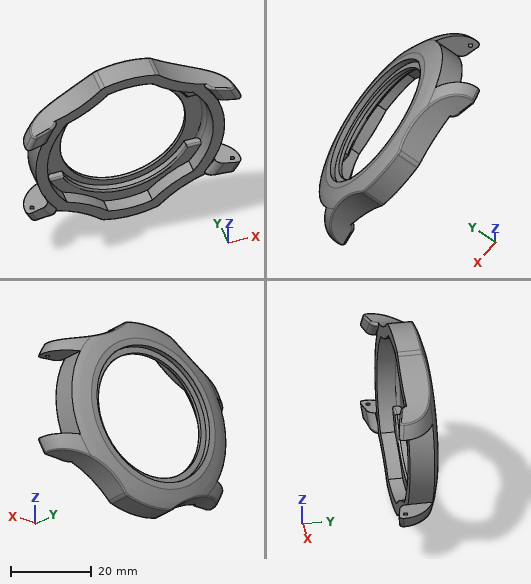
import cadquery as cq
import math

CASE_RADIUS = 24.8
CASE_HEIGHT = 8.0
OPENING_RADIUS = 16.5
WALL = 3.0

DOME_CENTER_RADIUS = 15.45
DOME_CENTER_Y = -1.75
DOME_HALF_HEIGHT = 10.2
DOME_UNDERCUT_ANGLE = 25
LUG_TIP_RADIUS = 30.55

LUG_GAP = 22.8
LUG_DROP = 3.45
LUG_BOTTOM_ANGLE = 13
LUG_TIP_FILLET = 1.0
LUG_HEEL_FILLET = 2.0
LUG_BOX_X = 11.35
LUG_BOX_Z = (7.95, 22.65)
PIN_HOLE_DIAMETER = 1.0
PIN_HOLE_DEPTH = 2.0
PIN_HOLE_X = 26.35
PIN_HOLE_Y = -1.4

FLANK_RADIUS = 28.95
FLANK_X = 28.05
FLANK_Z = 43.95
FLANK_CORNER_FILLET = 2.5
EDGE_FILLET = 0.5

PAD_DEPTH = 3.6
FLOOR_DEPTH = 5.65
FLOOR_FILLET = 1.0
PAD_INNER_RADIUS = 18.3
PAD_GAP = 17.45
PAD_EDGE_FILLET = 0.5
LIP_THICKNESS = 0.9
CRYSTAL_RADIUS = 18.1

CUT_SIZE = 113.3
TOLERANCE = 0.005

SIDES = (-1, 1)
QUADRANTS = [(sx, sz) for sx in SIDES for sz in SIDES]


def cylinder(radius, start, end, x=0, z=0):
    """Cylinder along Y between two Y positions."""
    plane = cq.Workplane("XZ", origin=(x, start, z))
    return plane.circle(radius).extrude(start - end)


def flanks(radius, start, end):
    """Four cylinders whose walls form the concave flanks."""
    tools = cq.Workplane()
    for sx, sz in QUADRANTS:
        tools = tools.add(cylinder(radius, start, end, sx * FLANK_X, sz * FLANK_Z))
    return tools.combine()


def dome():
    """Solid whose outside, an ellipse turned around Y, is the front of the case and lugs."""
    half_width = LUG_TIP_RADIUS - DOME_CENTER_RADIUS
    half_turn = 180
    section = (
        cq.Workplane("XY")
        .moveTo(DOME_CENTER_RADIUS, DOME_CENTER_Y + DOME_HALF_HEIGHT)
        .ellipseArc(
            half_width,
            DOME_HALF_HEIGHT,
            half_turn - DOME_UNDERCUT_ANGLE,
            half_turn + 90,
            rotation_angle=half_turn,
            sense=-1,
        )
        .hLineTo(0)
        .vLineTo(DOME_CENTER_Y + DOME_HALF_HEIGHT)
        .close()
    )
    return section.revolve(360, (0, 0, 0), (0, 1, 0))


def case_blank():
    return dome().intersect(cylinder(CASE_RADIUS, 0, CASE_HEIGHT))


def lug_blanks():
    """Dome outside the case, cut down to four lugs with sloping bottoms."""
    ring = dome().cut(cylinder(CASE_RADIUS, -CUT_SIZE, CUT_SIZE))
    tip_x = math.sqrt(LUG_TIP_RADIUS**2 - (LUG_GAP / 2) ** 2)
    slope = math.tan(math.radians(LUG_BOTTOM_ANGLE))
    rise = (tip_x - LUG_BOX_X) * slope
    overrun = (tip_x - LUG_TIP_RADIUS) * slope
    zones = cq.Workplane()
    for sx, sz in QUADRANTS:
        zone = (
            cq.Workplane("XY", origin=(0, 0, sz * LUG_BOX_Z[0]))
            .moveTo(sx * LUG_BOX_X, rise - LUG_DROP)
            .lineTo(sx * LUG_TIP_RADIUS, overrun - LUG_DROP)
            .lineTo(sx * LUG_TIP_RADIUS, CASE_HEIGHT)
            .lineTo(sx * LUG_BOX_X, CASE_HEIGHT)
            .close()
            .extrude(sz * (LUG_BOX_Z[1] - LUG_BOX_Z[0]))
        )
        zones = zones.add(zone)
    lugs = ring.intersect(zones.combine())
    lugs = lugs.edges("not %LINE").filter(is_tip).fillet(LUG_TIP_FILLET)
    return lugs.cut(cq.Workplane().box(CUT_SIZE, CUT_SIZE, LUG_GAP))


def cavity():
    """Outline cavity down to the pads, with deeper recesses between and inside the pads."""
    radius = CASE_RADIUS - WALL
    upper = cylinder(radius, 0, PAD_DEPTH).cut(flanks(FLANK_RADIUS + WALL, 0, PAD_DEPTH))
    recess = cylinder(radius, 0, FLOOR_DEPTH).faces(">Y").edges().fillet(FLOOR_FILLET)
    recess = recess.intersect(cq.Workplane().box(2 * CASE_RADIUS, 2 * CASE_HEIGHT, PAD_GAP))
    return upper.union(recess).union(cylinder(PAD_INNER_RADIUS, 0, FLOOR_DEPTH))


def pin_holes():
    holes = cq.Workplane()
    for sx, sz in QUADRANTS:
        start = cq.Workplane("XY", origin=(sx * PIN_HOLE_X, PIN_HOLE_Y, sz * LUG_GAP / 2))
        holes = holes.add(start.circle(PIN_HOLE_DIAMETER / 2).extrude(sz * PIN_HOLE_DEPTH))
    return holes.combine()


def ends(edge):
    return [edge.startPoint(), edge.endPoint()]


def touches_wall(edge, radius):
    """True if both ends of the edge lie on a cylinder around the Y axis."""
    return all(abs(math.hypot(end.x, end.z) - radius) < TOLERANCE for end in ends(edge))


def is_tip(edge):
    """Outer bottom edge of a lug blank."""
    center = edge.Center()
    return abs(center.x) > CASE_RADIUS and center.y < 0


def is_heel(edge):
    """Edge between a lug bottom and the lug's wall against the case."""
    return touches_wall(edge, CASE_RADIUS) and all(end.y < -TOLERANCE for end in ends(edge))


def is_flank_corner(edge):
    """Upright edge where a flank meets the round top or bottom of the case."""
    return abs(edge.Center().x) < CASE_RADIUS / 2


def is_rim(edge):
    """Edge along a flank or the round top and bottom, away from the two flat faces."""
    center = edge.Center()
    outside_lugs = abs(center.z) > FLANK_Z - FLANK_RADIUS
    between_faces = TOLERANCE < abs(center.y) < CASE_HEIGHT - TOLERANCE
    return outside_lugs and between_faces


def is_pad_edge(edge):
    """Top edge of a pad, along its straight ends or its inner arc."""
    at_top = all(abs(end.y - PAD_DEPTH) < TOLERANCE for end in ends(edge))
    at_gap = all(abs(abs(end.z) - PAD_GAP / 2) < TOLERANCE for end in ends(edge))
    straight = edge.geomType() == "LINE"
    return at_top and ((straight and at_gap) or touches_wall(edge, PAD_INNER_RADIUS))


body = case_blank().union(lug_blanks()).cut(flanks(FLANK_RADIUS, -CASE_HEIGHT, CASE_HEIGHT))
body = body.edges("not %LINE").filter(is_heel).fillet(LUG_HEEL_FILLET)
body = body.edges("|Y").filter(is_flank_corner).fillet(FLANK_CORNER_FILLET)
body = body.edges("not %LINE").filter(is_rim).fillet(EDGE_FILLET)

body = body.cut(cavity())
body = body.edges().filter(is_pad_edge).fillet(PAD_EDGE_FILLET)
body = body.cut(cylinder(OPENING_RADIUS, 0, CASE_HEIGHT))
body = body.cut(cylinder(CRYSTAL_RADIUS, FLOOR_DEPTH + LIP_THICKNESS, CASE_HEIGHT))

result = body.cut(pin_holes())